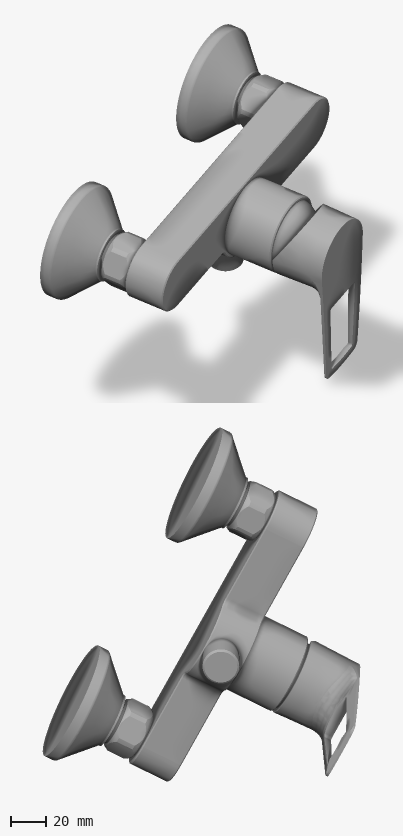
import cadquery as cq
import math

CONNECTION_Y = 75.0
FLANGE_R = 35.0
FLANGE_CORNER_X = 6.4
FLANGE_CORNER_FILLET = 1.8
FLANGE_RIM_R = 16.0
FLANGE_RIM_X = 25.3
FLANGE_END_X = 26.5

COLLAR_R = 13.2
NUT_BACK_X = 28.5
NUT_END_X = 44.9
NUT_FLATS = 30.0
NUT_CORNER_R = 16.5
NUT_END_R = 14.7
NUT_CHAMFER_LENGTH = 3.0
FAR_NUT_TURN = 18.0
NECK_R = 13.0
NOTCH_HALF_Y = 11.5
NOTCH_DEPTH = 1.5
NOTCH_R = 26.5

BAR_BACK_X = 45.8
BAR_FRONT_X = 70.6
BAR_HEIGHT = 35.0
BAR_R = BAR_HEIGHT / 2
BAR_EDGE = 0.7
BELLY_R = 25.7
BELLY_FILLET = 4.5

AXIS_Z = -8.8
BARREL_R = 23.5
BARREL_END_X = 100.8
BARREL_EDGE = 0.7

OUTLET_DIAMETER = 21.0
OUTLET_X = 56.8
OUTLET_END_Z = -50.5
OUTLET_CHAMFER = 1.0

BALL_R = 22.0
BALL_X = 94.5

HUB_BACK_X = 102.3
HUB_BACK_R = BARREL_R
HUB_FRONT_R = 22.7
FRONT_X = 134.6
SLANT_TOP_X = 116.2

LEVER_END_Z = -95.3
LEVER_SIDE_END_Z = -94.0
LEVER_END_HALF_Y = 17.0
LEVER_CORNER_R = 4.8
LEVER_EDGE_X = 132.9
CROWN_TOP_X = 127.2
CROWN_END_X = 130.2
BEVEL_HEIGHT = 6.2
LEVER_FILLET = 8.4
FRONT_SAG = 0.7

WINDOW_TOP_Z = -40.0
WINDOW_END_Z = -90.2
WINDOW_SIDE_END_Z = -89.3
WINDOW_TOP_HALF_Y = 13.6
WINDOW_END_HALF_Y = 11.5
WINDOW_CORNER_R = 1.8


def rod(x_start, x_end, radius, y=0.0, z=0.0):
    """Cylinder along X."""
    return cq.Workplane("YZ", origin=(x_start, y, z)).circle(radius).extrude(x_end - x_start)


def make_flange():
    """Wall flange on the X axis: disc, cone and short rim."""
    outline = [
        (0, 0),
        (0, FLANGE_R),
        (FLANGE_CORNER_X, FLANGE_R),
        (FLANGE_RIM_X, FLANGE_RIM_R),
        (FLANGE_END_X, FLANGE_RIM_R),
        (FLANGE_END_X, 0),
    ]
    flange = cq.Workplane("XY").polyline(outline).close().revolve(360, (0, 0, 0), (1, 0, 0))
    corner = cq.selectors.BoxSelector(
        (FLANGE_CORNER_X - 0.2, -2 * FLANGE_R, -2 * FLANGE_R),
        (FLANGE_CORNER_X + 0.2, 2 * FLANGE_R, 2 * FLANGE_R),
        boundingbox=True,
    )
    return flange.edges(corner).fillet(FLANGE_CORNER_FILLET)


def make_collar():
    """Round collar behind the nut, with a curved notch on each Y side."""
    collar = rod(FLANGE_END_X, NUT_BACK_X, COLLAR_R)
    notch_center_x = FLANGE_END_X + NOTCH_DEPTH - NOTCH_R
    for side in (-1, 1):
        notch = (
            cq.Workplane("XZ", origin=(notch_center_x, side * NOTCH_HALF_Y, 0))
            .circle(NOTCH_R)
            .extrude(-side * COLLAR_R)
        )
        collar = collar.cut(notch)
    return collar


def make_nut(turn):
    """Hexagon nut with chamfered ends and rounded corners, turned about its axis."""
    length = NUT_END_X - NUT_BACK_X
    hexagon = (
        cq.Workplane("YZ", origin=(NUT_BACK_X, 0, 0))
        .polygon(6, NUT_FLATS / math.cos(math.pi / 6))
        .extrude(length)
    )
    blank = (
        cq.Workplane("XY")
        .polyline(
            [
                (NUT_BACK_X, 0),
                (NUT_BACK_X, NUT_END_R),
                (NUT_BACK_X + NUT_CHAMFER_LENGTH, NUT_CORNER_R),
                (NUT_END_X - NUT_CHAMFER_LENGTH, NUT_CORNER_R),
                (NUT_END_X, NUT_END_R),
                (NUT_END_X, 0),
            ]
        )
        .close()
        .revolve(360, (0, 0, 0), (1, 0, 0))
    )
    return hexagon.intersect(blank).rotate((0, 0, 0), (1, 0, 0), turn)


def make_connection(side, nut_turn):
    """Flange, collar, nut and neck on one side of the bar."""
    neck = rod(NUT_END_X, BAR_BACK_X + BAR_EDGE, NECK_R)
    connection = make_flange().union(make_collar()).union(make_nut(nut_turn)).union(neck)
    return connection.translate((0, side * CONNECTION_Y, 0))


def make_bar():
    """Round-ended bar blended into the belly, with eased edges."""
    depth = BAR_FRONT_X - BAR_BACK_X
    slot_length = 2 * (CONNECTION_Y + BAR_R)
    bar = cq.Workplane("YZ", origin=(BAR_BACK_X, 0, 0)).slot2D(slot_length, BAR_HEIGHT).extrude(depth)
    bar = bar.union(rod(BAR_BACK_X, BAR_FRONT_X, BELLY_R, z=AXIS_Z))
    corner_y = math.sqrt(BELLY_R**2 - (AXIS_Z + BAR_R) ** 2)
    for side in (-1, 1):
        corner = cq.selectors.NearestToPointSelector(
            ((BAR_BACK_X + BAR_FRONT_X) / 2, side * corner_y, -BAR_R)
        )
        bar = bar.edges("|X").edges(corner).fillet(BELLY_FILLET)
    return bar.faces("<X or >X").edges().chamfer(BAR_EDGE)


def make_outlet():
    """Outlet pipe from the barrel axis down to its chamfered end."""
    return (
        cq.Workplane("XY", origin=(OUTLET_X, 0, OUTLET_END_Z))
        .circle(OUTLET_DIAMETER / 2)
        .extrude(AXIS_Z - OUTLET_END_Z)
        .faces("<Z")
        .chamfer(OUTLET_CHAMFER)
    )


def make_body():
    """Mixer body: bar, barrel, outlet and both wall connections."""
    barrel = rod(BAR_FRONT_X - BAR_EDGE, BARREL_END_X, BARREL_R, z=AXIS_Z)
    barrel = barrel.faces(">X").chamfer(BARREL_EDGE)
    body = make_bar().union(barrel).union(make_outlet())
    for side, nut_turn in ((-1, 0), (1, -FAR_NUT_TURN)):
        body = body.union(make_connection(side, nut_turn))
    return body


def make_cap():
    """Ball-shaped cap standing on the end of the barrel."""
    base_r = math.sqrt(BALL_R**2 - (BARREL_END_X - BALL_X) ** 2)
    arc_mid = (BALL_X + BALL_R * math.cos(math.pi / 6), BALL_R * math.sin(math.pi / 6))
    profile = (
        cq.Workplane("XY")
        .moveTo(BARREL_END_X, 0)
        .lineTo(BARREL_END_X, base_r)
        .threePointArc(arc_mid, (BALL_X + BALL_R, 0))
        .close()
    )
    return profile.revolve(360, (0, 0, 0), (1, 0, 0)).translate((0, 0, AXIS_Z))


def make_hub():
    """Tapered hub, its upper back cut off at a slant."""
    outline = [(HUB_BACK_X, 0), (HUB_BACK_X, HUB_BACK_R), (FRONT_X, HUB_FRONT_R), (FRONT_X, 0)]
    hub = cq.Workplane("XY").polyline(outline).close().revolve(360, (0, 0, 0), (1, 0, 0))
    slant = (
        cq.Workplane("XZ")
        .polyline([(HUB_BACK_X, 0), (HUB_BACK_X, HUB_BACK_R), (SLANT_TOP_X, HUB_BACK_R)])
        .close()
        .extrude(HUB_BACK_R, both=True)
    )
    return hub.cut(slant).translate((0, 0, AXIS_Z))


def lever_outline():
    """Tapered lever outline at the back of the hub, from the hub axis to the bowed lower end."""
    return (
        cq.Workplane("YZ", origin=(HUB_BACK_X, 0, 0))
        .moveTo(HUB_FRONT_R, AXIS_Z)
        .lineTo(LEVER_END_HALF_Y, LEVER_SIDE_END_Z)
        .threePointArc((0, LEVER_END_Z), (-LEVER_END_HALF_Y, LEVER_SIDE_END_Z))
        .lineTo(-HUB_FRONT_R, AXIS_Z)
        .close()
    )


def crown_section(half_y, middle_x, z):
    """Lever cross-section at height z: thin at its Y edges, bowed back to middle_x."""
    return (
        cq.Workplane("XY", origin=(0, 0, z))
        .moveTo(FRONT_X, half_y)
        .lineTo(LEVER_EDGE_X, half_y)
        .threePointArc((middle_x, 0), (LEVER_EDGE_X, -half_y))
        .lineTo(FRONT_X, -half_y)
        .close()
    )


def make_lever():
    """Lever with a crowned back, rounded lower corners and a beveled lower end."""
    outline = lever_outline().extrude(FRONT_X - HUB_BACK_X)
    outline = outline.edges("|X").edges("<Z").fillet(LEVER_CORNER_R)
    top = crown_section(HUB_FRONT_R, CROWN_TOP_X, AXIS_Z)
    end = crown_section(LEVER_END_HALF_Y, CROWN_END_X, LEVER_END_Z)
    crown = cq.Workplane(cq.Solid.makeLoft([top.wire().val(), end.wire().val()], True))
    bevel_top_z = LEVER_END_Z + BEVEL_HEIGHT
    bevel = (
        cq.Workplane("XZ")
        .moveTo(HUB_BACK_X, LEVER_END_Z)
        .lineTo(LEVER_EDGE_X, LEVER_END_Z)
        .lineTo(CROWN_END_X, bevel_top_z)
        .lineTo(HUB_BACK_X, bevel_top_z)
        .close()
        .extrude(HUB_FRONT_R, both=True)
    )
    return outline.intersect(crown).cut(bevel)


def make_window():
    """Opening through the lever, narrowing downwards with a bowed lower edge."""
    window = (
        cq.Workplane("YZ", origin=(HUB_BACK_X, 0, 0))
        .moveTo(WINDOW_TOP_HALF_Y, WINDOW_TOP_Z)
        .lineTo(WINDOW_END_HALF_Y, WINDOW_SIDE_END_Z)
        .threePointArc((0, WINDOW_END_Z), (-WINDOW_END_HALF_Y, WINDOW_SIDE_END_Z))
        .lineTo(-WINDOW_TOP_HALF_Y, WINDOW_TOP_Z)
        .close()
        .extrude(FRONT_X - HUB_BACK_X)
    )
    return window.edges("|X").fillet(WINDOW_CORNER_R)


def make_front_envelope():
    """Block whose front face is slightly bowed from top to bottom."""
    top_z = AXIS_Z + HUB_BACK_R
    edge_x = FRONT_X - FRONT_SAG
    return (
        cq.Workplane("XZ")
        .moveTo(HUB_BACK_X, top_z)
        .lineTo(edge_x, top_z)
        .threePointArc((FRONT_X, (top_z + LEVER_END_Z) / 2), (edge_x, LEVER_END_Z))
        .lineTo(HUB_BACK_X, LEVER_END_Z)
        .close()
        .extrude(2 * HUB_BACK_R, both=True)
    )


def make_handle(cap):
    """Handle: hub and windowed lever, hollowed to fit over the cap."""
    handle = make_hub().union(make_lever())
    corner = cq.selectors.NearestToPointSelector((CROWN_TOP_X, 0, AXIS_Z - HUB_FRONT_R))
    handle = handle.edges(corner).fillet(LEVER_FILLET)
    return handle.cut(make_window()).intersect(make_front_envelope()).cut(cap)


body = make_body()
cap = make_cap()
handle = make_handle(cap)

result = cq.Compound.makeCompound([body.solids().val(), cap.solids().val(), handle.solids().val()])